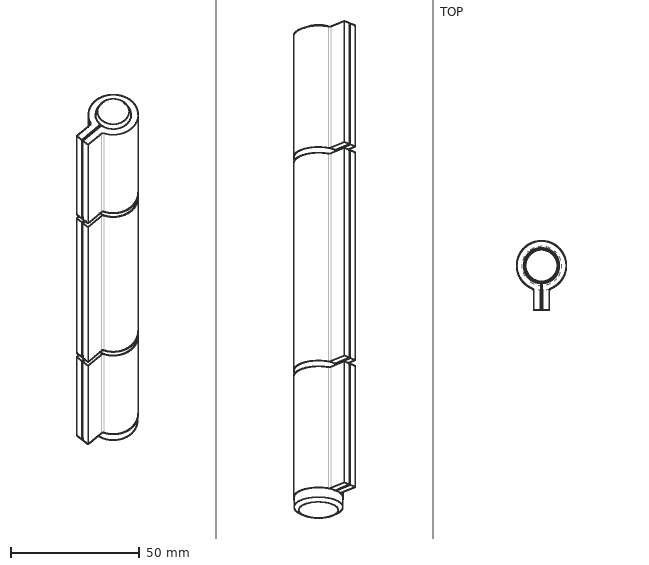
import cadquery as cq
import math

TOTAL_LENGTH = 205.0
BARREL_DIAMETER = 19.5
BORE_DIAMETER = 14.0
OVERALL_DEPTH = 27.0
NECK_RADIUS = 0.8
SLIT_WIDTH = 0.6
WASHER_DIAMETER = 19.0
WASHER_THICKNESS = 2.5
PIN_DIAMETER = 13.5
PIN_PROTRUSION = 2.0
TIP_CHAMFER_WIDTH = 0.6
HEAD_DIAMETER = 19.0
HEAD_HEIGHT = 5.3
HEAD_CHAMFER_HEIGHT = 1.2
HEAD_CHAMFER_WIDTH = 1.8
END_KNUCKLE_LENGTH = 51.9

LEAF_REACH = OVERALL_DEPTH - BARREL_DIAMETER / 2
PLY_THICKNESS = (BARREL_DIAMETER - BORE_DIAMETER) / 2
LEAF_WIDTH = 2 * PLY_THICKNESS + SLIT_WIDTH
NECK_Y = -math.sqrt((BARREL_DIAMETER / 2) ** 2 - (LEAF_WIDTH / 2) ** 2)
MIDDLE_KNUCKLE_LENGTH = (
    TOTAL_LENGTH - HEAD_HEIGHT - PIN_PROTRUSION - 2 * END_KNUCKLE_LENGTH - 2 * WASHER_THICKNESS
)


def make_knuckle(bottom, length):
    """Sheet wrapped round the pin, with both ends brought together as a two-ply leaf."""
    base = cq.Workplane("XY").workplane(offset=bottom)
    barrel = base.circle(BARREL_DIAMETER / 2).extrude(length)
    leaf = base.center(0, -LEAF_REACH / 2).rect(LEAF_WIDTH, LEAF_REACH).extrude(length)
    bore = base.circle(BORE_DIAMETER / 2).extrude(length)
    slit = base.center(0, -LEAF_REACH / 2).rect(SLIT_WIDTH, LEAF_REACH).extrude(length)
    outline = barrel.union(leaf)
    for neck_x in (-LEAF_WIDTH / 2, LEAF_WIDTH / 2):
        neck = cq.NearestToPointSelector((neck_x, NECK_Y, bottom + length / 2))
        outline = outline.edges("|Z").edges(neck).fillet(NECK_RADIUS)
    return outline.cut(bore).cut(slit)


def make_washer(bottom):
    """Flat ring between two neighbouring knuckles."""
    base = cq.Workplane("XY").workplane(offset=bottom)
    return base.circle(WASHER_DIAMETER / 2).circle(BORE_DIAMETER / 2).extrude(WASHER_THICKNESS)


def make_pin():
    """Headed pin through the whole stack, chamfered at the tip and under the head."""
    head = cq.Workplane("XY").circle(HEAD_DIAMETER / 2).extrude(HEAD_HEIGHT)
    head = head.faces("<Z").chamfer(HEAD_CHAMFER_HEIGHT, HEAD_CHAMFER_WIDTH)
    shank = cq.Workplane("XY").circle(PIN_DIAMETER / 2).extrude(TOTAL_LENGTH)
    shank = shank.faces(">Z").chamfer(PIN_PROTRUSION, TIP_CHAMFER_WIDTH)
    return head.union(shank)


knuckle_lengths = [END_KNUCKLE_LENGTH, MIDDLE_KNUCKLE_LENGTH, END_KNUCKLE_LENGTH]
knuckles = []
washers = []
level = HEAD_HEIGHT
for length in knuckle_lengths:
    if knuckles:
        washers.append(make_washer(level))
        level += WASHER_THICKNESS
    knuckles.append(make_knuckle(level, length))
    level += length

pin = make_pin()

result = cq.Compound.makeCompound([body.val() for body in [*knuckles, *washers, pin]])